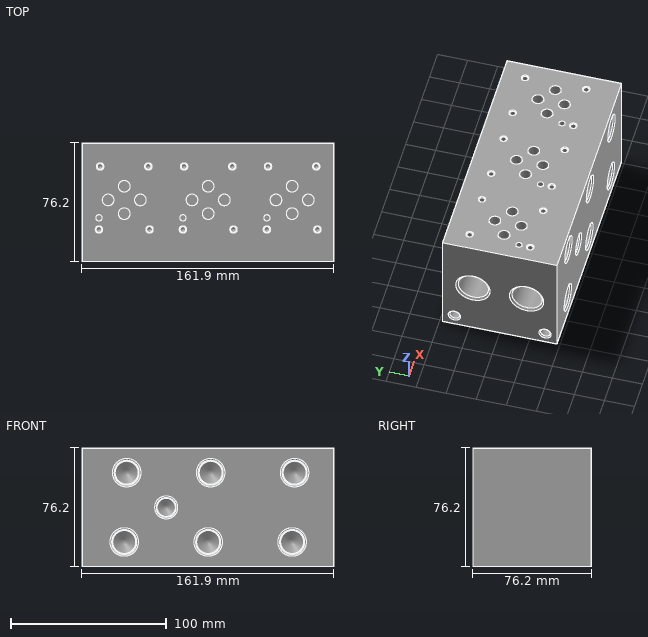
import cadquery as cq
import math

LENGTH = 161.93
WIDTH = 76.2
HEIGHT = 76.2

STATION_COUNT = 3
STATION_PITCH = 53.975
FIRST_STATION_X = 27.1
PORT_CENTRE_Y = 39.69
DRILL_POINT_ANGLE = 120.0
PIPE_TAPER = 1 / 16

FLOW_PORT_DIAMETER = 7.49
FLOW_PORT_DEPTH = 20.0
FLOW_PORT_OFFSET_X = 10.4
FLOW_PORT_OFFSET_Y = 8.8
PIN_DIAMETER = 4.01
PIN_DEPTH = 5.0
PIN_OFFSET_X = 16.25
PIN_OFFSET_Y = 11.5
BOLT_DIAMETER = 3.68
BOLT_MOUTH_DIAMETER = 4.8
BOLT_DEPTH = 15.0
REAR_BOLT_OFFSET_X = 15.5
REAR_BOLT_OFFSET_Y = 21.5
FRONT_BOLT_OFFSET_X = 16.25
FRONT_BOLT_OFFSET_Y = 19.0

WORK_PORT_DIAMETER = 16.1
WORK_PORT_MOUTH_DIAMETER = 18.3
WORK_PORT_DEPTH = 22.0
A_PORT_Z = 15.875
B_PORT_Z = 60.4
B_PORT_SHIFT_X = 1.5875

GAUGE_PORT_DIAMETER = 12.7
GAUGE_PORT_MOUTH_DIAMETER = 14.8
GAUGE_PORT_DEPTH = 16.0
GAUGE_PORT_X = FIRST_STATION_X + STATION_PITCH / 2
GAUGE_PORT_Z = HEIGHT / 2

END_PORT_DIAMETER = 20.1
END_PORT_MOUTH_DIAMETER = 22.8
END_PORT_DEPTH = 24.0
END_PORT_SPACING = 35.72
END_PORT_Z = HEIGHT / 2

MOUNT_DIAMETER = 6.41
MOUNT_MOUTH_DIAMETER = 8.2
MOUNT_DEPTH = 19.0
MOUNT_EDGE_DISTANCE = 7.94

INTO_TOP = cq.Vector(0, 0, -1)
INTO_FRONT = cq.Vector(0, 1, 0)
INTO_LEFT_END = cq.Vector(1, 0, 0)


def drilled_hole(diameter, mouth_diameter, depth, mouth, direction, taper=0.0):
    """Tool body: 45 degree mouth chamfer, straight or tapered bore and conical drill point."""
    radius = diameter / 2
    mouth_radius = mouth_diameter / 2
    chamfer = mouth_radius - radius
    end_radius = radius - taper * (depth - chamfer) / 2
    point_length = end_radius / math.tan(math.radians(DRILL_POINT_ANGLE / 2))
    profile = (
        cq.Workplane("XZ")
        .moveTo(0, 0)
        .lineTo(mouth_radius, 0)
        .lineTo(radius, -chamfer)
        .lineTo(end_radius, -depth)
        .lineTo(0, -depth - point_length)
        .close()
    )
    tool = profile.revolve(360, (0, 0, 0), (0, 1, 0)).val()
    if direction == INTO_FRONT:
        tool = tool.rotate(cq.Vector(), cq.Vector(1, 0, 0), 90)
    elif direction == INTO_LEFT_END:
        tool = tool.rotate(cq.Vector(), cq.Vector(0, 1, 0), -90)
    return tool.moved(cq.Location(cq.Vector(*mouth)))


def flat_hole(diameter, depth, mouth):
    """Tool body: plain flat-bottomed hole sunk into the top face."""
    return cq.Solid.makeCylinder(diameter / 2, depth, cq.Vector(*mouth), INTO_TOP)


def valve_station(x):
    """Four flow ports, four tapped bolt holes and one locating pin hole on the top face."""
    y = PORT_CENTRE_Y
    flow_port_places = []
    bolt_places = []
    for side in (-1, 1):
        flow_port_places.append((x + side * FLOW_PORT_OFFSET_X, y, HEIGHT))
        flow_port_places.append((x, y + side * FLOW_PORT_OFFSET_Y, HEIGHT))
        bolt_places.append((x + side * REAR_BOLT_OFFSET_X, y + REAR_BOLT_OFFSET_Y, HEIGHT))
        bolt_places.append((x + side * FRONT_BOLT_OFFSET_X, y - FRONT_BOLT_OFFSET_Y, HEIGHT))
    pin_place = (x - PIN_OFFSET_X, y - PIN_OFFSET_Y, HEIGHT)

    tools = [flat_hole(PIN_DIAMETER, PIN_DEPTH, pin_place)]
    for place in flow_port_places:
        tools.append(flat_hole(FLOW_PORT_DIAMETER, FLOW_PORT_DEPTH, place))
    for place in bolt_places:
        tools.append(drilled_hole(BOLT_DIAMETER, BOLT_MOUTH_DIAMETER, BOLT_DEPTH, place, INTO_TOP))
    return tools


def work_ports(x):
    """Tapered A (lower) and B (upper) ports of one station."""
    places = [(x, 0, A_PORT_Z), (x + B_PORT_SHIFT_X, 0, B_PORT_Z)]
    return [
        drilled_hole(
            WORK_PORT_DIAMETER, WORK_PORT_MOUTH_DIAMETER, WORK_PORT_DEPTH, place, INTO_FRONT, PIPE_TAPER
        )
        for place in places
    ]


def gauge_port():
    place = (GAUGE_PORT_X, 0, GAUGE_PORT_Z)
    return drilled_hole(
        GAUGE_PORT_DIAMETER, GAUGE_PORT_MOUTH_DIAMETER, GAUGE_PORT_DEPTH, place, INTO_FRONT, PIPE_TAPER
    )


def left_end_holes():
    """Tapered P and T ports and the two mounting holes below them."""
    tools = []
    for side in (-1, 1):
        port_place = (0, WIDTH / 2 + side * END_PORT_SPACING / 2, END_PORT_Z)
        mount_place = (0, WIDTH / 2 + side * (WIDTH / 2 - MOUNT_EDGE_DISTANCE), MOUNT_EDGE_DISTANCE)
        port = drilled_hole(
            END_PORT_DIAMETER, END_PORT_MOUTH_DIAMETER, END_PORT_DEPTH, port_place, INTO_LEFT_END, PIPE_TAPER
        )
        mount = drilled_hole(MOUNT_DIAMETER, MOUNT_MOUTH_DIAMETER, MOUNT_DEPTH, mount_place, INTO_LEFT_END)
        tools += [port, mount]
    return tools


block = cq.Workplane("XY").box(LENGTH, WIDTH, HEIGHT, centered=False)
tools = [gauge_port()] + left_end_holes()
for index in range(STATION_COUNT):
    station_x = FIRST_STATION_X + index * STATION_PITCH
    tools += valve_station(station_x) + work_ports(station_x)

result = cq.Workplane(block.val().cut(*tools))